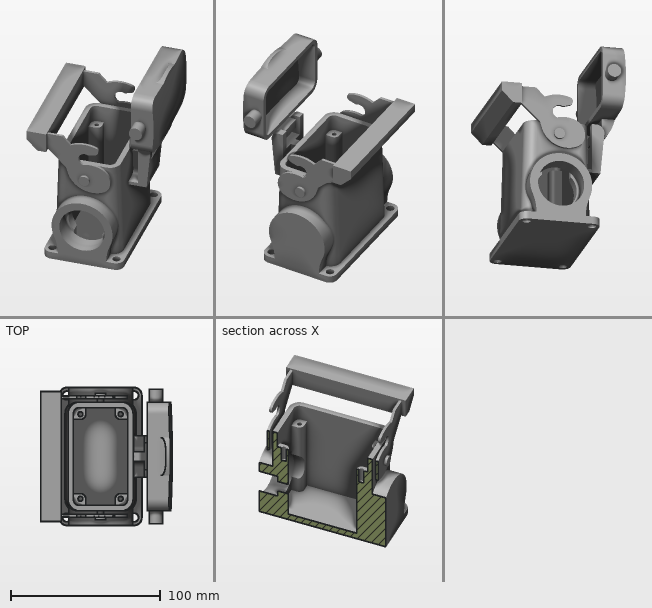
import cadquery as cq
import math


FLANGE_X = 55.5
FLANGE_Y = 92.5
FLANGE_T = 5.2
FLANGE_CORNER_R = 5.7
SCREW_HOLE_R = 2.8
SCREW_HOLE_X = 22.5
SCREW_HOLE_Y = 40.8

HOUSING_Y = 72.7
HOUSING_TOP_X = 43.5
HOUSING_FOOT_X = 47.5
HOUSING_CORNER_R = 7.7
HOUSING_WALL = 3.6
COLLAR_Z = 68.4
HOUSING_TOP_Z = 74.0

POST_INNER_X = 9.8
POST_INNER_Y = 24.8
POST_R = 3.6
POST_TOP_Z = 61.9
POST_HOLE_R = 1.6
POST_HOLE_X = 13.5
POST_HOLE_Y = 28.3
POST_HOLE_DEPTH = 10.8

ENTRY_Z = 26.9
ENTRY_R = 21.4
ENTRY_FOOT_HALF = 17.0
ENTRY_BORE_R = 15.9
ENTRY_INNER_BORE_R = 14.0

BRACKET_HALF_Y = 14.0
BRACKET_BOTTOM_Z = 48.2
SHELF_TOP_Z = 50.6
LUG_X = 29.0
LUG_INNER_Y = 9.0
LUG_TOP_Z = 82.8
LUG_ROUND_R = 5.8
LUG_BACK_X = 37.7
LUG_FOOT_X = 35.0
RIB_HALF_Y = 3.1
RIB_FOOT_R = 3.8

LEVER_PIN_Z = 63.9
LEVER_PIN_R = 2.2
LEVER_HEAD_R = 3.6
LEVER_HEAD_T = 1.9
PLATE_INNER_Y = 38.6
PLATE_OUTER_Y = 40.5
HANDLE_HALF_Y = 43.5
HANDLE_X = -40.0
HANDLE_INNER_X = -26.1
HANDLE_TOP_Z = 96.9
HANDLE_BOTTOM_Z = 82.8
HANDLE_BEVEL_X = 7.7
HANDLE_BEVEL_Z = 7.8
ARM_TOP_Z = 95.7
ARM_BOTTOM_Z = 84.0
ARM_SHOULDER_X = -15.7
FINGER_ROOT = (-10.0, 89.6)
FINGER_CREST = (0.5, 91.9)
FINGER_TIP_TOP = (8.5, 90.3)
FINGER_TIP = (9.5, 87.7)
FINGER_TIP_BOTTOM = (8.1, 85.3)
SLOT_MOUTH = (2.7, 83.8)
SLOT_BACK = (-4.3, 80.5)
SLOT_FLOOR = (-1.3, 75.6)
LOBE_TOP = (5.4, 76.3)
LOBE_SHOULDER = (11.3, 74.8)
LOBE_UPPER_SIDE = (16.1, 70.6)
LOBE_SIDE = (17.9, 64.3)
LOBE_LOWER_SIDE = (17.0, 60.3)
LOBE_UNDERSIDE = (12.5, 56.1)
LOBE_BOTTOM = (-2.5, 56.4)
LOBE_HEEL = (-12.1, 68.2)
ARM_HEEL = (-13.0, 71.6)

COVER_FRONT_X = 31.1
COVER_BACK_X = 48.0
COVER_BOTTOM_Z = 89.1
COVER_TOP_Z = 132.4
COVER_CORNER_R = HOUSING_CORNER_R
COVER_WALL = 3.2
COVER_SAG_Z = 1.7
COVER_SAG_Y = 1.0
STUD_R = 4.6
STUD_X = 37.0
STUD_END_Y = 45.0
TAB_HALF_Y = 12.6
TAB_FRONT_X = 40.5
TAB_CREST_X = 43.7
TAB_BACK_X = 46.4
TAB_TOP_Z = 134.5
TONGUE_HALF_Y = 8.6
TONGUE_FRONT_X = 37.3
TONGUE_BACK_X = 46.2
TONGUE_MID = (43.6, 81.8)
HINGE_BAR_X = 31.6
HINGE_BAR_TOP_Z = 80.2
HINGE_BAR_BOTTOM_Z = 73.5

ENDS = (-1, 1)


def box(x_range, y_range, z_range):
    """Box between two limits on each axis."""
    size = [high - low for low, high in (x_range, y_range, z_range)]
    corner = (x_range[0], y_range[0], z_range[0])
    return cq.Workplane("XY").box(*size, centered=False).translate(corner)


def disc_along_y(radius, x, z, y_start, y_end):
    """Cylinder along Y between two Y positions."""
    return cq.Workplane("XZ", origin=(x, y_start, z)).circle(radius).extrude(y_start - y_end)


def rounded_block(size_x, size_y, corner_r, z_bottom, z_top):
    """Upright block with rounded vertical edges."""
    block = box((-size_x / 2, size_x / 2), (-size_y / 2, size_y / 2), (z_bottom, z_top))
    return block.edges("|Z").fillet(corner_r)


def extrude_between(outline, y_start, y_end):
    """Extrude an outline of the XZ plane between two Y positions."""
    return outline.extrude(y_start - y_end).translate((0, y_start, 0))



def make_shell():
    """Solid outer form of the shell, with rounded corners."""
    top_half = HOUSING_TOP_X / 2
    foot_half = HOUSING_FOOT_X / 2
    outline = cq.Workplane("XZ").polyline(
        [
            (-foot_half, FLANGE_T),
            (foot_half, FLANGE_T),
            (top_half, COLLAR_Z),
            (top_half, HOUSING_TOP_Z),
            (-top_half, HOUSING_TOP_Z),
            (-top_half, COLLAR_Z),
        ]
    ).close()
    corner_edges = "not(|X or |Y)"
    shell = extrude_between(outline, -HOUSING_Y / 2, HOUSING_Y / 2)
    return shell.edges(corner_edges).fillet(HOUSING_CORNER_R)


def make_cavity():
    """Upright space inside the shell, down to the top of the flange."""
    size_x = HOUSING_TOP_X - 2 * HOUSING_WALL
    size_y = HOUSING_Y - 2 * HOUSING_WALL
    return rounded_block(size_x, size_y, HOUSING_CORNER_R - HOUSING_WALL, FLANGE_T, HOUSING_TOP_Z)


def make_flange():
    flange = rounded_block(FLANGE_X, FLANGE_Y, FLANGE_CORNER_R, 0, FLANGE_T)
    return (
        flange.faces(">Z")
        .workplane(origin=(0, 0, FLANGE_T))
        .rect(2 * SCREW_HOLE_X, 2 * SCREW_HOLE_Y, forConstruction=True)
        .vertices()
        .hole(2 * SCREW_HOLE_R)
    )


def make_entry_boss(end):
    """Round boss that flares into a foot on the flange; end is -1 or +1 along Y."""
    drop = ENTRY_Z - FLANGE_T
    flare_r = (ENTRY_FOOT_HALF**2 + drop**2 - ENTRY_R**2) / (2 * (ENTRY_R - ENTRY_FOOT_HALF))
    flare_x = ENTRY_FOOT_HALF + flare_r
    to_flare = math.atan2(drop, flare_x)
    join_x = ENTRY_R * math.cos(to_flare)
    join_z = ENTRY_Z - ENTRY_R * math.sin(to_flare)
    mid_x = flare_x - flare_r * math.cos(to_flare / 2)
    mid_z = FLANGE_T + flare_r * math.sin(to_flare / 2)

    outline = (
        cq.Workplane("XZ")
        .moveTo(-ENTRY_FOOT_HALF, 0)
        .lineTo(ENTRY_FOOT_HALF, 0)
        .lineTo(ENTRY_FOOT_HALF, FLANGE_T)
        .threePointArc((mid_x, mid_z), (join_x, join_z))
        .threePointArc((0, ENTRY_Z + ENTRY_R), (-join_x, join_z))
        .threePointArc((-mid_x, mid_z), (-ENTRY_FOOT_HALF, FLANGE_T))
        .close()
    )
    inner_y = HOUSING_Y / 2 - HOUSING_CORNER_R
    return extrude_between(outline, end * inner_y, end * FLANGE_Y / 2)


def make_posts(cavity):
    """Four posts in the corners of the cavity, each with a blind screw hole."""
    posts = None
    for side_x in ENDS:
        for side_y in ENDS:
            x_range = sorted((side_x * POST_INNER_X, side_x * HOUSING_FOOT_X / 2))
            y_range = sorted((side_y * POST_INNER_Y, side_y * HOUSING_Y / 2))
            inner_edge = cq.selectors.NearestToPointSelector(
                (side_x * POST_INNER_X, side_y * POST_INNER_Y, (FLANGE_T + POST_TOP_Z) / 2)
            )
            post = box(x_range, y_range, (FLANGE_T, POST_TOP_Z))
            post = post.edges("|Z").edges(inner_edge).fillet(POST_R)
            hole = (
                cq.Workplane("XY", origin=(side_x * POST_HOLE_X, side_y * POST_HOLE_Y, POST_TOP_Z))
                .circle(POST_HOLE_R)
                .extrude(-POST_HOLE_DEPTH)
            )
            post = post.intersect(cavity).cut(hole)
            posts = post if posts is None else posts.union(post)
    return posts


def make_bracket():
    """Hinge bracket: two lugs on a cross plate, tied to the wall by a shelf and a middle rib."""
    wall_x = HOUSING_TOP_X / 2 - HOUSING_WALL / 2
    round_mid = LUG_ROUND_R * math.sin(math.pi / 4)
    round_x = LUG_BACK_X - LUG_ROUND_R
    round_z = LUG_TOP_Z - LUG_ROUND_R
    outline = (
        cq.Workplane("XZ")
        .moveTo(LUG_X, BRACKET_BOTTOM_Z)
        .lineTo(LUG_FOOT_X, BRACKET_BOTTOM_Z)
        .lineTo(LUG_BACK_X, round_z)
        .threePointArc((round_x + round_mid, round_z + round_mid), (round_x, LUG_TOP_Z))
        .lineTo(LUG_X, LUG_TOP_Z)
        .close()
    )
    lugs = extrude_between(outline, -BRACKET_HALF_Y, BRACKET_HALF_Y)
    lug_gap = box((LUG_X, LUG_BACK_X), (-LUG_INNER_Y, LUG_INNER_Y), (COLLAR_Z, LUG_TOP_Z))

    arm = box((wall_x, LUG_X), (-BRACKET_HALF_Y, BRACKET_HALF_Y), (BRACKET_BOTTOM_Z, COLLAR_Z))
    for end in ENDS:
        y_range = sorted((end * RIB_HALF_Y, end * BRACKET_HALF_Y))
        beside_rib = box((wall_x, LUG_X), y_range, (SHELF_TOP_Z, COLLAR_Z))
        rib_foot = cq.selectors.NearestToPointSelector((LUG_X, end * RIB_HALF_Y, SHELF_TOP_Z))
        arm = arm.cut(beside_rib.edges("|X").edges(rib_foot).fillet(RIB_FOOT_R))
    return arm.union(lugs.cut(lug_gap))



def lever_plate(end):
    """Side plate of the lever: arm, hooked finger, slot and round pivot lobe."""
    outline = (
        cq.Workplane("XZ")
        .moveTo(HANDLE_INNER_X, ARM_TOP_Z)
        .lineTo(ARM_SHOULDER_X, ARM_TOP_Z)
        .lineTo(*FINGER_ROOT)
        .threePointArc(FINGER_CREST, FINGER_TIP_TOP)
        .threePointArc(FINGER_TIP, FINGER_TIP_BOTTOM)
        .lineTo(*SLOT_MOUTH)
        .threePointArc(SLOT_BACK, SLOT_FLOOR)
        .threePointArc(LOBE_TOP, LOBE_SHOULDER)
        .threePointArc(LOBE_UPPER_SIDE, LOBE_SIDE)
        .threePointArc(LOBE_LOWER_SIDE, LOBE_UNDERSIDE)
        .threePointArc(LOBE_BOTTOM, LOBE_HEEL)
        .lineTo(*ARM_HEEL)
        .lineTo(HANDLE_INNER_X, ARM_BOTTOM_Z)
        .close()
    )
    return extrude_between(outline, end * PLATE_INNER_Y, end * PLATE_OUTER_Y)


def make_lever():
    handle_outline = (
        cq.Workplane("XZ")
        .moveTo(HANDLE_X, HANDLE_TOP_Z)
        .lineTo(HANDLE_INNER_X, HANDLE_TOP_Z)
        .lineTo(HANDLE_INNER_X, HANDLE_BOTTOM_Z)
        .lineTo(HANDLE_X + HANDLE_BEVEL_X, HANDLE_BOTTOM_Z)
        .lineTo(HANDLE_X, HANDLE_BOTTOM_Z + HANDLE_BEVEL_Z)
        .close()
    )
    lever = extrude_between(handle_outline, -HANDLE_HALF_Y, HANDLE_HALF_Y)
    wall_y = HOUSING_Y / 2 - HOUSING_WALL / 2
    for end in ENDS:
        pin = disc_along_y(LEVER_PIN_R, 0, LEVER_PIN_Z, end * wall_y, end * PLATE_OUTER_Y)
        head_end = PLATE_OUTER_Y + LEVER_HEAD_T
        head = disc_along_y(LEVER_HEAD_R, 0, LEVER_PIN_Z, end * PLATE_OUTER_Y, end * head_end)
        lever = lever.union(lever_plate(end)).union(pin).union(head)
    return lever


def make_housing():
    cavity = make_cavity()
    housing = make_flange().union(make_shell())
    for end in ENDS:
        housing = housing.union(make_entry_boss(end))
    housing = housing.union(make_bracket()).cut(cavity).union(make_posts(cavity))

    inner_wall_y = HOUSING_Y / 2 - HOUSING_WALL
    entry = disc_along_y(ENTRY_BORE_R, 0, ENTRY_Z, -FLANGE_Y / 2, -inner_wall_y)
    inner_entry = disc_along_y(ENTRY_INNER_BORE_R, 0, ENTRY_Z, -inner_wall_y, -POST_INNER_Y)
    housing = housing.cut(entry).cut(inner_entry)

    return housing.union(make_lever())



def domed_block(inset):
    """Rounded block along X whose back is a shallow dome, moved inwards by an inset."""
    half_y = HOUSING_Y / 2
    half_z = (COVER_TOP_Z - COVER_BOTTOM_Z) / 2
    mid_z = (COVER_TOP_Z + COVER_BOTTOM_Z) / 2
    block = box(
        (COVER_FRONT_X, COVER_BACK_X),
        (inset - half_y, half_y - inset),
        (COVER_BOTTOM_Z + inset, COVER_TOP_Z - inset),
    )
    block = block.edges("|X").fillet(COVER_CORNER_R - inset)

    turn_r = (half_y**2 + COVER_SAG_Y**2) / (2 * COVER_SAG_Y)
    back_x = COVER_BACK_X - inset
    axis_x = back_x - turn_r
    edge_x = back_x - COVER_SAG_Z
    dome = (
        cq.Workplane("XZ")
        .moveTo(axis_x, mid_z - half_z)
        .lineTo(edge_x, mid_z - half_z)
        .threePointArc((back_x, mid_z), (edge_x, mid_z + half_z))
        .lineTo(axis_x, mid_z + half_z)
        .close()
        .revolve(360, (axis_x, 0, 0), (axis_x, 1, 0))
    )
    return block.intersect(dome)


def make_tab():
    """Thumb tab on the top edge: a flat arch along Y with a hollowed front."""
    arch = (
        cq.Workplane("YZ", origin=(TAB_FRONT_X, 0, 0))
        .moveTo(-TAB_HALF_Y, COVER_TOP_Z)
        .threePointArc((0, TAB_TOP_Z), (TAB_HALF_Y, COVER_TOP_Z))
        .lineTo(TAB_HALF_Y, COVER_TOP_Z - COVER_WALL / 2)
        .lineTo(-TAB_HALF_Y, COVER_TOP_Z - COVER_WALL / 2)
        .close()
        .extrude(TAB_BACK_X - TAB_FRONT_X)
    )
    run = TAB_CREST_X - TAB_FRONT_X
    rise = TAB_TOP_Z - COVER_TOP_Z
    hollow_r = (run**2 + rise**2) / (2 * rise)
    hollow = disc_along_y(hollow_r, TAB_FRONT_X, COVER_TOP_Z + hollow_r, -TAB_HALF_Y, TAB_HALF_Y)
    return arch.cut(hollow)


def make_hinge_tongue():
    """Curved tongue under the cover, ending in the bar that lies between the bracket lugs."""
    outline = (
        cq.Workplane("XZ")
        .moveTo(TONGUE_FRONT_X, COVER_BOTTOM_Z + COVER_WALL / 2)
        .lineTo(TONGUE_BACK_X, COVER_BOTTOM_Z + COVER_WALL / 2)
        .lineTo(TONGUE_BACK_X, COVER_BOTTOM_Z)
        .threePointArc(TONGUE_MID, (TONGUE_FRONT_X, HINGE_BAR_BOTTOM_Z))
        .lineTo(HINGE_BAR_X, HINGE_BAR_BOTTOM_Z)
        .lineTo(HINGE_BAR_X, HINGE_BAR_TOP_Z)
        .lineTo(TONGUE_FRONT_X, HINGE_BAR_TOP_Z)
        .close()
    )
    return extrude_between(outline, -TONGUE_HALF_Y, TONGUE_HALF_Y)


def make_cover():
    cover = domed_block(0).union(make_tab()).union(make_hinge_tongue())
    stud_z = (COVER_TOP_Z + COVER_BOTTOM_Z) / 2
    stud_root_y = HOUSING_Y / 2 - COVER_WALL / 2
    for end in ENDS:
        stud = disc_along_y(STUD_R, STUD_X, stud_z, end * stud_root_y, end * STUD_END_Y)
        cover = cover.union(stud)
    return cover.cut(domed_block(COVER_WALL))


housing = make_housing()
cover = make_cover()

result = cq.Compound.makeCompound([housing.val(), cover.val()])